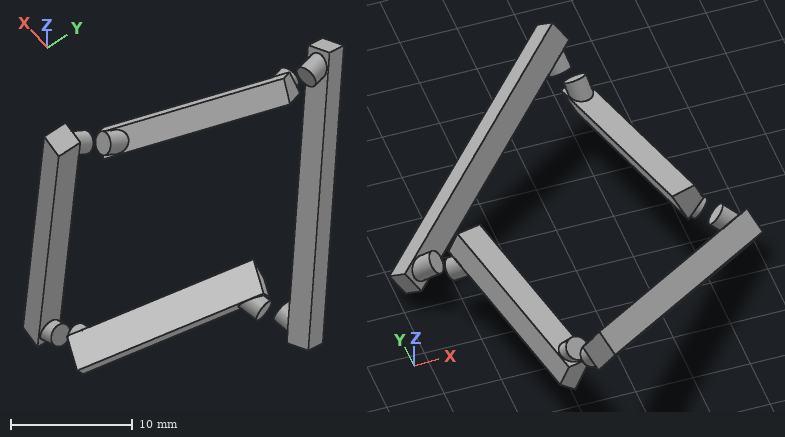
import cadquery as cq
import math


PEG_RADIUS = 1.0

LONG_START = cq.Vector(-4.33, -18.25, 3.7)
LONG_END = cq.Vector(14.37, -1.5, -3.75)
LONG_ROLL = -98.0
LONG_TWIST = 80.2
LONG_SIDE = 2.35
LONG_PEG_LEAN = 26.0
LONG_PEG_INSET = 1.5
LONG_PEG_LENGTH = 1.5

SHORT_START = cq.Vector(-5.55, -15.55, -1.2)
SHORT_END = cq.Vector(-9.65, 0.77, 0.35)
SHORT_ROLL = 23.9
SHORT_TWIST = 41.2
SHORT_SIDE = 2.25
SHORT_NARROW = 1.95
SHORT_PEG_LEAN = -32.0
SHORT_PEG_INSET = 1.35
SHORT_PEG_LENGTH = 1.3


def bar_plane(start, end, roll):
    """Section plane at the start of a bar, X level before the roll is applied."""
    axis = end - start
    level = cq.Vector(0, 0, 1).cross(axis)
    return cq.Plane(origin=start, xDir=level, normal=axis).rotated((0, 0, roll))


def rhombus_section():
    """Corners in order; side 0 carries the peg of the end and side 1 that of the start."""
    half_x = LONG_SIDE * math.cos(math.radians(LONG_TWIST / 2))
    half_y = LONG_SIDE * math.sin(math.radians(LONG_TWIST / 2))
    return [(-half_x, 0), (0, half_y), (half_x, 0), (0, -half_y)]


def trapezoid_section():
    """Corners in order; side 0 carries the peg of the start and side 2 that of the end."""
    half_x = SHORT_SIDE * math.cos(math.radians(SHORT_TWIST / 2)) / 2
    half_narrow = SHORT_NARROW / 2
    half_wide = half_narrow + SHORT_SIDE * math.sin(math.radians(SHORT_TWIST / 2))
    return [(-half_x, half_wide), (half_x, half_narrow), (half_x, -half_narrow), (-half_x, -half_wide)]


def peg(plane, side, height, lean, length):
    """Round peg standing on one side face of a bar, leaning along +Z of the bar for lean > 0."""
    (ax, ay), (bx, by) = side
    foot = plane.toWorldCoords(((ax + bx) / 2, (ay + by) / 2, height))
    outward = plane.toWorldCoords((ay - by, bx - ax, 0)) - plane.origin
    face = cq.Plane(origin=foot, xDir=plane.zDir, normal=outward)
    leaning = face.rotated((0, lean, 0))
    root_depth = 2 * PEG_RADIUS
    pin = cq.Workplane(leaning).workplane(offset=-root_depth).circle(PEG_RADIUS).extrude(root_depth + length)
    trim_size = 4 * (root_depth + length)
    outer_space = cq.Workplane(face).box(trim_size, trim_size, trim_size, centered=(True, True, False))
    return pin.intersect(outer_space)


def link(start, end, roll, section, start_side, end_side, lean, inset, length):
    """Bar with one peg near each end, on the section sides numbered start_side and end_side."""
    plane = bar_plane(start, end, roll)
    bar_length = (end - start).Length
    bar = cq.Workplane(plane).polyline(section).close().extrude(bar_length)
    start_peg = peg(plane, section[start_side:start_side + 2], inset, lean, length)
    end_peg = peg(plane, section[end_side:end_side + 2], bar_length - inset, -lean, length)
    return bar.union(start_peg).union(end_peg)


def long_link():
    return link(
        LONG_START, LONG_END, LONG_ROLL, rhombus_section(), 1, 0,
        LONG_PEG_LEAN, LONG_PEG_INSET, LONG_PEG_LENGTH,
    )


def short_link():
    return link(
        SHORT_START, SHORT_END, SHORT_ROLL, trapezoid_section(), 0, 2,
        SHORT_PEG_LEAN, SHORT_PEG_INSET, SHORT_PEG_LENGTH,
    )


links = []
for make_link in (long_link, short_link):
    for turn in (0, 180):
        links.append(make_link().val().rotate((0, 0, 0), (0, 0, 1), turn))

result = cq.Compound.makeCompound([body.Solids()[0] for body in links])